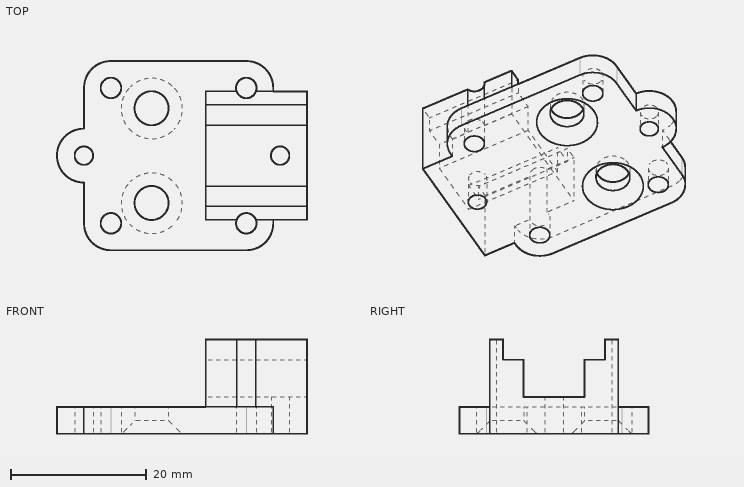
import cadquery as cq
import math

plate_size = 28.0
plate_thickness = 4.0
corner_radius = 4.0
plate_edge = plate_size / 2

ear_radius = 4.0
ear_x = -plate_edge

block_length = 15.0
block_overhang = 5.0
block_width = 19.0
block_top = 14.0
block_end = plate_edge + block_overhang
block_start = block_end - block_length

channel_floor = 5.5
channel_width = 9.0
ledge_height = 11.0
ledge_width = 15.0

corner_hole_diameter = 3.0
corner_hole_offset = plate_edge - corner_radius
large_hole_diameter = 5.0
large_hole_x = -4.0
large_hole_y = 7.0
countersink_diameter = 9.0
countersink_depth = 2.0
countersink_taper = math.degrees(
    math.atan((countersink_diameter - large_hole_diameter) / 2 / countersink_depth)
)
axis_hole_diameter = 2.7
axis_hole_end_margin = 4.0
block_hole_x = block_end - axis_hole_end_margin


def make_plate():
    """Rounded square plate with the mounting ear."""
    plate = (
        cq.Workplane("XY")
        .rect(plate_size, plate_size)
        .extrude(plate_thickness)
        .edges("|Z")
        .fillet(corner_radius)
    )
    ear = cq.Workplane("XY").center(ear_x, 0).circle(ear_radius).extrude(plate_thickness)
    return plate.union(ear)


def block_slab(width, bottom, top):
    """Box spanning the block's length, centred on Y."""
    return (
        cq.Workplane("XY", origin=(block_start, 0, bottom))
        .box(block_length, width, top - bottom, centered=(False, True, False))
    )


def make_block():
    """Block reaching the underside of the plate, with a two-step channel open at the top."""
    block = block_slab(block_width, 0, block_top)
    channel = block_slab(channel_width, channel_floor, block_top)
    ledges = block_slab(ledge_width, ledge_height, block_top)
    return block.cut(channel).cut(ledges)


def vertical_holes(points, diameter):
    """Cylinders through the full height of the part."""
    return cq.Workplane("XY").pushPoints(points).circle(diameter / 2).extrude(block_top)


def underside_countersinks(points):
    """Cones opening downwards, narrowing to the large hole diameter inside the plate."""
    return (
        cq.Workplane("XY")
        .pushPoints(points)
        .circle(countersink_diameter / 2)
        .extrude(countersink_depth, taper=countersink_taper)
    )


corner_points = [
    (x_side * corner_hole_offset, y_side * corner_hole_offset)
    for x_side in (-1, 1)
    for y_side in (-1, 1)
]
large_points = [(large_hole_x, y_side * large_hole_y) for y_side in (-1, 1)]
axis_points = [(ear_x, 0), (block_hole_x, 0)]

result = make_plate().union(make_block())

result = result.cut(vertical_holes(corner_points, corner_hole_diameter))
result = result.cut(vertical_holes(large_points, large_hole_diameter))
result = result.cut(underside_countersinks(large_points))
result = result.cut(vertical_holes(axis_points, axis_hole_diameter))